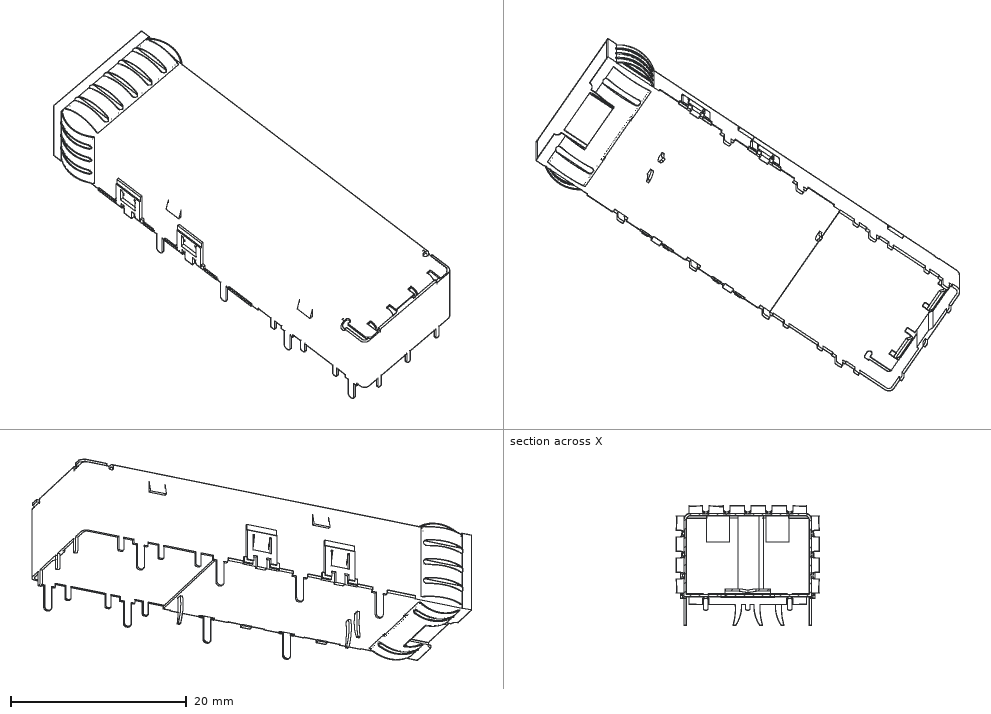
import cadquery as cq
import math


overrun = 0.5

total_length = 48.8
cage_width = 14.55
cage_height = 9.5
sheet = 0.3
bend_radius = 0.75
rear_face = 48.7
half_width = cage_width / 2
lip_half_width = 7.3
lip_corner = 0.15
floor_end = 31.95
wall_bottom = 0.35

roof_slit_start = 44.95
rear_wall_top = 9.0
rear_middle_top = 9.35
rear_middle_width = 9.35
rear_roof_width = 13.45
roof_corner_cut = 0.5
relief_width = 0.6
relief_radius = 0.25
relief_bottom = 8.55
relief_depth = 1.05

window_start = 47.15
window_inner_y = 1.5
window_outer_y = 5.2
roof_middle_end = 48.15
tab_width = 2.65
tab_center_y = 3.35
tab_bend_start = 47.45
tab_bend_radius = 0.8
tab_lean_z = 8.45
tab_tip_z = 6.25
tab_tip_setback = 0.6

spring_start = 1.15
spring_end = 6.35
spring_rise = 0.9
spring_sheet = 0.1
spring_root = 0.05
flat_band_width = 13.4
side_band_height = 8.8
side_band_center_z = 4.85
slot_start = 1.05
slot_end = 6.1
slot_width = 0.75
slot_pitch = 2.4

opening_width = 6.05
opening_corner = 0.6
tongue_width = 5.15
nose_x = 0.7
nose_top = 1.15
tongue_tip_x = 6.15
tongue_tip_top = 0.7
triangle_back_x = 2.95
triangle_point_x = 5.15
triangle_half_base = 1.45

first_pin_x = 11.5
last_pin_x = 46.5
pin_count = 8
pin_pitch = (last_pin_x - first_pin_x) / (pin_count - 1)
pin_width = 0.9
pin_tip_z = -3.2
pin_tip_radius = 0.4
shoulder_width = 1.8
shoulder_z = -0.15
short_pin_xs = (34.25, 38.95, 43.95)
short_pin_width = 0.65
short_pin_tip_z = -1.35
rear_pin_ys = (-4.8, 0.0, 4.8)
rear_pin_width = 0.55
rear_pin_tip_z = -1.5
short_tip_radius = 0.2

curved_pins = (
    (first_pin_x, 1.2, 1),
    (first_pin_x, -1.2, -1),
    (first_pin_x + 4 * pin_pitch, -3.65, -1),
)
curved_pin_width = 0.7
curved_pin_thickness = 0.3
curved_pin_sway = 0.3

raise_out = 0.4
clip_front_xs = (11.95, 21.45)
clip_back_xs = (16.65, 26.45)
clip_width = 3.7
clip_top = 5.0
clip_step_z = 4.25
clip_strip_out = 0.25
clip_bottom = 0.55
clip_window_width = 2.3
clip_window_top = 3.8
clip_window_bottom = 1.85
clip_wedge_width = 1.9
clip_wedge_bottom = 2.5
stem_width = 1.15
notch_width = 0.5
notch_top = 1.15
foot_span = 4.4
foot_bottom = 0.2
foot_top = 0.9
foot_out = 0.25
louvre_xs = (18.95, 39.5)
louvre_width = 2.0
louvre_top = 8.05
louvre_bottom = 6.7
strip_start = 7.1
strip_end = 31.05
strip_out = 0.15
clip_gap = 2.25
pin_gap = 0.95

rib_left_y = 1.1
rib_right_y = -1.25
rib_foot_y = -1.8
rib_depth = 0.25


def block(x0, x1, y0, y1, z0, z1):
    """Box between two corners."""
    return cq.Workplane("XY").box(x1 - x0, y1 - y0, z1 - z0, centered=False).translate((x0, y0, z0))


def extrude_y(profile_xz, width):
    """Extrude a closed X-Z wire symmetrically about Y = 0."""
    return profile_xz.extrude(width / 2, both=True)


def rounded_box(x0, x1, half_y, z0, z1, radius):
    """Box with rounded upper long edges and rounded rear corners."""
    box = block(x0, x1, -half_y, half_y, z0, z1)
    return box.edges("|Z and >X").fillet(radius).edges("|X and >Z").fillet(radius)


def cavity():
    """Space inside the sheet-metal box."""
    return rounded_box(
        -overrun, rear_face - sheet, half_width - sheet, sheet, cage_height - sheet, bend_radius - sheet
    )


def cage_box():
    outer = rounded_box(0, rear_face, half_width, 0, cage_height, bend_radius)
    open_floor = block(floor_end, total_length, -half_width, half_width, -overrun, wall_bottom)
    open_roof = block(
        roof_slit_start, total_length, -half_width, half_width, rear_wall_top, cage_height + overrun
    )
    box = outer.cut(cavity()).cut(open_floor).cut(open_roof)

    for side in (-1, 1):
        y0, y1 = sorted((side * (half_width - relief_depth), side * (half_width + overrun)))
        relief = block(
            roof_slit_start, roof_slit_start + relief_width, y0, y1, relief_bottom, cage_height + overrun
        )
        box = box.cut(relief.edges("|Y and <Z").fillet(relief_radius))
    return box


def rear_roof():
    z0 = cage_height - sheet
    half = rear_roof_width / 2
    roof = block(roof_slit_start - sheet, total_length, -half, half, z0, cage_height)
    roof = roof.edges("|Z and >X").chamfer(roof_corner_cut)
    roof = roof.cut(
        block(roof_middle_end, total_length, -window_outer_y, window_outer_y, z0, cage_height)
    )
    for side in (-1, 1):
        y0, y1 = sorted((side * window_inner_y, side * window_outer_y))
        roof = roof.cut(block(window_start, total_length, y0, y1, z0, cage_height))
        notch = cq.Workplane("XY").circle(relief_width / 2).extrude(sheet)
        notch_x = roof_slit_start + relief_width / 2
        roof = roof.cut(notch.translate((notch_x, side * (half - relief_width / 2), z0)))
        y0, y1 = sorted((side * (half - relief_width / 2), side * (half + overrun)))
        roof = roof.cut(
            block(roof_slit_start, roof_slit_start + relief_width, y0, y1, z0, cage_height)
        )
    return roof


def rear_wall_middle():
    """Taller part of the rear wall behind the windows."""
    half = rear_middle_width / 2
    return block(
        rear_face - sheet, rear_face, -half, half, rear_wall_top - sheet, rear_middle_top
    )


def mouth_lip():
    """Frame around the mouth, with sharper upper corners than the bent sheet behind it."""
    frame = block(0, spring_start, -lip_half_width, lip_half_width, 0, cage_height)
    frame = frame.edges("|X and >Z").fillet(lip_corner)
    return frame.cut(cavity())


def rear_tab():
    """Tab bent down from the roof that leans back toward the mouth."""
    bend_z = cage_height - tab_bend_radius
    outer_x = tab_bend_start + tab_bend_radius
    inner_radius = tab_bend_radius - sheet
    diagonal = math.sqrt(0.5)
    profile = (
        cq.Workplane("XZ")
        .moveTo(window_start - sheet, cage_height)
        .lineTo(tab_bend_start, cage_height)
        .threePointArc(
            (tab_bend_start + tab_bend_radius * diagonal, bend_z + tab_bend_radius * diagonal),
            (outer_x, bend_z),
        )
        .lineTo(outer_x, tab_lean_z)
        .lineTo(outer_x - tab_tip_setback, tab_tip_z)
        .lineTo(outer_x - tab_tip_setback - sheet, tab_tip_z)
        .lineTo(outer_x - sheet, tab_lean_z)
        .lineTo(outer_x - sheet, bend_z)
        .threePointArc(
            (tab_bend_start + inner_radius * diagonal, bend_z + inner_radius * diagonal),
            (tab_bend_start, cage_height - sheet),
        )
        .lineTo(window_start - sheet, cage_height - sheet)
        .close()
    )
    return extrude_y(profile, tab_width)


def rear_rib():
    back = rear_face - sheet / 2
    face = rear_face - sheet
    front = face - rib_depth
    return (
        cq.Workplane("XY")
        .polyline(
            [
                (back, rib_left_y),
                (front, rib_left_y),
                (front, rib_right_y),
                (face, rib_foot_y),
                (back, rib_foot_y),
            ]
        )
        .close()
        .extrude(rear_middle_top - wall_bottom)
        .translate((0, 0, wall_bottom))
    )


def spring_band(width):
    """Bowed sheet on the plane Z = 0, centred on Y = 0."""
    middle = (spring_start + spring_end) / 2
    profile = (
        cq.Workplane("XZ")
        .moveTo(spring_start, -spring_root)
        .lineTo(spring_start, 0)
        .threePointArc((middle, spring_rise), (spring_end, 0))
        .lineTo(spring_end, -spring_root)
        .lineTo(spring_end - 2 * spring_sheet, -spring_root)
        .threePointArc(
            (middle, spring_rise - spring_sheet), (spring_start + 2 * spring_sheet, -spring_root)
        )
        .close()
    )
    return extrude_y(profile, width)


def spring_slots(positions):
    """Round-ended slots that part the spring fingers, at multiples of the pitch from Y = 0."""
    return (
        cq.Workplane("XY")
        .pushPoints(
            [((slot_start + slot_end) / 2, position * slot_pitch) for position in positions]
        )
        .slot2D(slot_end - slot_start, slot_width)
        .extrude(spring_rise + overrun + spring_root)
        .translate((0, 0, -spring_root))
    )


def on_cage_face(shape, turn):
    """Turn a shape about X from the Z = 0 plane onto a face of the cage mouth."""
    turned = shape.rotate((0, 0, 0), (1, 0, 0), turn)
    seats = {
        0: (0, 0, cage_height),
        90: (0, -half_width, side_band_center_z),
        180: (0, 0, 0),
        270: (0, half_width, side_band_center_z),
    }
    return turned.translate(seats[turn])


def add_springs(cage):
    slots = {0: (-2, -1, 0, 1, 2), 90: (-1, 0, 1), 180: (-2, 2), 270: (-1, 0, 1)}
    for turn, positions in slots.items():
        is_side = turn in (90, 270)
        width = side_band_height if is_side else flat_band_width
        cage = cage.union(on_cage_face(spring_band(width), turn))
        cage = cage.cut(on_cage_face(spring_slots(positions), turn))
    return cage


def latch_opening():
    """Opening in the floor, and in the front half of the bottom springs."""
    half = opening_width / 2
    floor_cut = block(-overrun, spring_end, -half, half, -spring_root, sheet)
    spring_cut = block(
        -overrun, (spring_start + spring_end) / 2, -half, half, -spring_rise - overrun, 0
    )
    opening = floor_cut.union(spring_cut)
    for side in (-1, 1):
        corner = (
            cq.Workplane("XY")
            .moveTo(0, side * half)
            .lineTo(0, side * (half + opening_corner))
            .radiusArc((opening_corner, side * half), side * opening_corner)
            .close()
            .extrude(sheet + spring_root)
            .translate((0, 0, -spring_root))
        )
        opening = opening.union(corner)
    return opening


def latch_tongue():
    """Tongue that runs forward from the floor and folds back over itself."""
    nose_radius = nose_top - sheet
    fold_x = nose_x + sheet
    crown_x = nose_x + nose_radius
    profile = (
        cq.Workplane("XZ")
        .moveTo(spring_end + sheet, 0)
        .lineTo(fold_x, 0)
        .radiusArc((nose_x, sheet), sheet)
        .radiusArc((crown_x, nose_top), nose_radius)
        .lineTo(tongue_tip_x, tongue_tip_top)
        .lineTo(tongue_tip_x, tongue_tip_top - sheet)
        .lineTo(crown_x, nose_top - sheet)
        .radiusArc((fold_x, sheet), sheet - nose_radius)
        .lineTo(spring_end + sheet, sheet)
        .close()
    )
    triangle = (
        cq.Workplane("XY")
        .polyline(
            [
                (triangle_back_x, triangle_half_base),
                (triangle_point_x, 0),
                (triangle_back_x, -triangle_half_base),
            ]
        )
        .close()
        .extrude(nose_top)
        .translate((0, 0, sheet))
    )
    return extrude_y(profile, tongue_width).cut(triangle)


def flat_pin(width, thickness, top, tip, tip_radius):
    """Upright pin centred on the Z axis, thin along Y, with a rounded tip."""
    half = width / 2
    pin = block(-half, half, -thickness / 2, thickness / 2, tip, top)
    return pin.edges("|Y and <Z").fillet(tip_radius)


def wall_pin(x, side):
    y = side * (half_width - sheet / 2)
    pin = flat_pin(pin_width, sheet, wall_bottom + sheet, pin_tip_z, pin_tip_radius)
    half = shoulder_width / 2
    shoulder = block(-half, half, -sheet / 2, sheet / 2, shoulder_z, wall_bottom + sheet)
    return pin.union(shoulder).translate((x, y, 0))


def curved_pin(x, y, direction):
    half = curved_pin_width / 2
    sway = direction * curved_pin_sway
    middle_z = pin_tip_z / 2
    return (
        cq.Workplane("YZ")
        .moveTo(-half, sheet / 2)
        .lineTo(half, sheet / 2)
        .spline([(half - sway / 2, middle_z), (half / 2 + sway, pin_tip_z)], includeCurrent=True)
        .lineTo(sway - half / 2, pin_tip_z)
        .spline([(-half - sway / 2, middle_z), (-half, sheet / 2)], includeCurrent=True)
        .close()
        .extrude(curved_pin_thickness / 2, both=True)
        .translate((x, y, 0))
    )


def add_pins(cage):
    for i in range(pin_count):
        side = 1 if i % 2 == 0 else -1
        cage = cage.union(wall_pin(first_pin_x + i * pin_pitch, side))
    short_pin = flat_pin(
        short_pin_width, sheet, wall_bottom + sheet, short_pin_tip_z, short_tip_radius
    )
    for x in short_pin_xs:
        for side in (-1, 1):
            cage = cage.union(short_pin.translate((x, side * (half_width - sheet / 2), 0)))
    rear_pin = flat_pin(
        rear_pin_width, sheet, wall_bottom + sheet, rear_pin_tip_z, short_tip_radius
    ).rotate((0, 0, 0), (0, 0, 1), 90)
    for y in rear_pin_ys:
        cage = cage.union(rear_pin.translate((rear_face - sheet / 2, y, 0)))
    for x, y, direction in curved_pins:
        cage = cage.union(curved_pin(x, y, direction))
    return cage


def wall_wedge(width, outline):
    """Extrude an outline of (outward distance, Z) points along X on the -Y wall."""
    points = [(-half_width - out, z) for out, z in outline]
    return cq.Workplane("YZ").polyline(points).close().extrude(width / 2, both=True)


def outward_block(x0, x1, out, z0, z1):
    """Block that stands out from the -Y wall, rooted in its sheet."""
    return block(x0, x1, -half_width - out, -half_width + sheet / 2, z0, z1)


def clip():
    """Raised clip on the -Y wall, centred on X = 0."""
    root = -sheet / 2
    plate = wall_wedge(
        clip_width,
        [
            (root, clip_top),
            (clip_strip_out, clip_top),
            (clip_strip_out, clip_step_z),
            (raise_out, clip_step_z),
            (raise_out, clip_bottom),
            (root, clip_bottom),
        ],
    )
    half_window = clip_window_width / 2
    window = block(
        -half_window, half_window, -half_width - raise_out, -half_width,
        clip_window_bottom, clip_window_top,
    )
    wedge = wall_wedge(
        clip_wedge_width,
        [
            (root, clip_window_top),
            (raise_out, clip_window_top),
            (0, clip_wedge_bottom),
            (root, clip_wedge_bottom),
        ],
    )
    half_stem = stem_width / 2
    notch_edge = half_stem + notch_width
    body = plate.cut(window).union(wedge)
    for side in (-1, 1):
        x0, x1 = sorted((side * half_stem, side * notch_edge))
        body = body.cut(outward_block(x0, x1, raise_out, foot_bottom, notch_top))
        x0, x1 = sorted((side * notch_edge, side * foot_span / 2))
        body = body.union(outward_block(x0, x1, foot_out, foot_bottom, foot_top))
    return body.union(outward_block(-half_stem, half_stem, raise_out, shoulder_z, clip_bottom))


def louvre():
    """Louvre on the -Y wall that slopes outward toward its lower edge."""
    root = -sheet / 2
    return wall_wedge(
        louvre_width,
        [(root, louvre_top), (0, louvre_top), (raise_out, louvre_bottom), (root, louvre_bottom)],
    )


def edge_strip(clip_xs, pin_xs):
    """Floor edge showing outside the -Y wall, interrupted at the clips and pins."""
    strip = outward_block(strip_start, strip_end, strip_out, 0, wall_bottom)
    for xs, gap in ((clip_xs, clip_gap), (pin_xs, pin_gap)):
        for x in xs:
            strip = strip.cut(
                block(x - gap, x + gap, -half_width - strip_out, -half_width, 0, wall_bottom)
            )
    return strip


def side_details(clip_xs, first_pin):
    """All features of one wall, built on the -Y wall."""
    pin_xs = [first_pin + i * 2 * pin_pitch for i in range(pin_count // 2)]
    details = edge_strip(clip_xs, pin_xs)
    for x in clip_xs:
        details = details.union(clip().translate((x, 0, 0)))
    for x in louvre_xs:
        details = details.union(louvre().translate((x, 0, 0)))
    return details


cage = cage_box()
for addition in (mouth_lip(), rear_roof(), rear_rib(), rear_wall_middle()):
    cage = cage.union(addition)
for tab_side in (-1, 1):
    cage = cage.union(rear_tab().translate((0, tab_side * tab_center_y, 0)))
cage = add_springs(cage)
cage = cage.cut(latch_opening()).union(latch_tongue())
cage = add_pins(cage)
cage = cage.union(side_details(clip_front_xs, first_pin_x + pin_pitch))
cage = cage.union(side_details(clip_back_xs, first_pin_x).mirror("XZ"))
result = cage.solids()